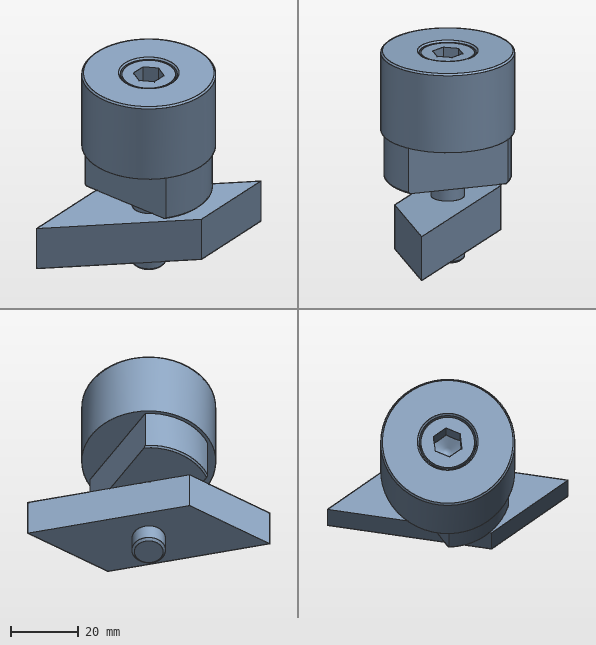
import cadquery as cq
import math

total_height = 66.0
collar_height = 25.0
tongue_height = 15.0
nut_gap = 6.0
nut_height = 14.0
housing_height = collar_height + tongue_height
housing_bottom = total_height - housing_height
nut_bottom = housing_bottom - nut_gap - nut_height

collar_diameter = 40.0
tongue_diameter = 38.0
tongue_flat_width = 22.0
edge_chamfer = 0.5
bore_diameter = 17.0
bore_chamfer = 0.5

head_diameter = 16.0
head_height = 10.0
head_recess = 0.5
shank_diameter = 10.0
tip_chamfer = 0.7
socket_across_flats = 8.0
socket_depth = 6.0
socket_tip_angle = 120.0
nut_width = 35.0
nut_length = 63.3

head_top = total_height - head_recess
head_bottom = head_top - head_height


def cylinder(diameter, bottom, height):
    """Upright cylinder centred on the Z axis."""
    return cq.Workplane("XY").workplane(offset=bottom).circle(diameter / 2).extrude(height)


def make_housing():
    collar = cylinder(collar_diameter, housing_bottom + tongue_height, collar_height)
    collar = collar.faces(">Z").chamfer(edge_chamfer)

    tongue = cylinder(tongue_diameter, housing_bottom, tongue_height)
    tongue = tongue.faces("<Z").chamfer(edge_chamfer)
    flats = (
        cq.Workplane("XY")
        .workplane(offset=housing_bottom)
        .rect(tongue_diameter, tongue_flat_width)
        .extrude(tongue_height)
    )
    body = collar.union(tongue.intersect(flats))

    shank_hole = cylinder(shank_diameter, housing_bottom, housing_height)
    head_bore = cylinder(bore_diameter, head_bottom, total_height - head_bottom)
    body = body.cut(shank_hole).cut(head_bore)
    return body.faces(">Z").edges(cq.selectors.RadiusNthSelector(0)).chamfer(bore_chamfer)


def make_socket():
    """Hexagonal recess with corners along Y, ending in a conical drill point."""
    corner_diameter = socket_across_flats / math.cos(math.radians(30))
    corner_radius = corner_diameter / 2
    tip_depth = corner_radius / math.tan(math.radians(socket_tip_angle / 2))
    socket_floor = head_top - socket_depth
    hexagon = (
        cq.Workplane("XY")
        .workplane(offset=socket_floor - tip_depth)
        .transformed(rotate=(0, 0, 90))
        .polygon(6, corner_diameter)
        .extrude(socket_depth + tip_depth)
    )
    drill_envelope = (
        cq.Workplane("XZ")
        .moveTo(0, socket_floor - tip_depth)
        .lineTo(corner_radius, socket_floor)
        .lineTo(corner_radius, head_top)
        .lineTo(0, head_top)
        .close()
        .revolve(360, (0, 0), (0, 1))
    )
    return hexagon.intersect(drill_envelope)


def make_nut():
    """Rhomboid block with two sides along Y and two at 45 degrees."""
    half_width = nut_width / 2
    half_length = nut_length / 2
    corners = [
        (half_width, half_length),
        (-half_width, half_length - nut_width),
        (-half_width, -half_length),
        (half_width, nut_width - half_length),
    ]
    return cq.Workplane("XY").workplane(offset=nut_bottom).polyline(corners).close().extrude(nut_height)


def make_screw():
    shank = cylinder(shank_diameter, 0, head_bottom).faces("<Z").chamfer(tip_chamfer)
    head = cylinder(head_diameter, head_bottom, head_height)
    return shank.union(head).cut(make_socket()).union(make_nut())


housing = make_housing()
screw = make_screw()
result = cq.Compound.makeCompound([housing.val(), screw.val()])